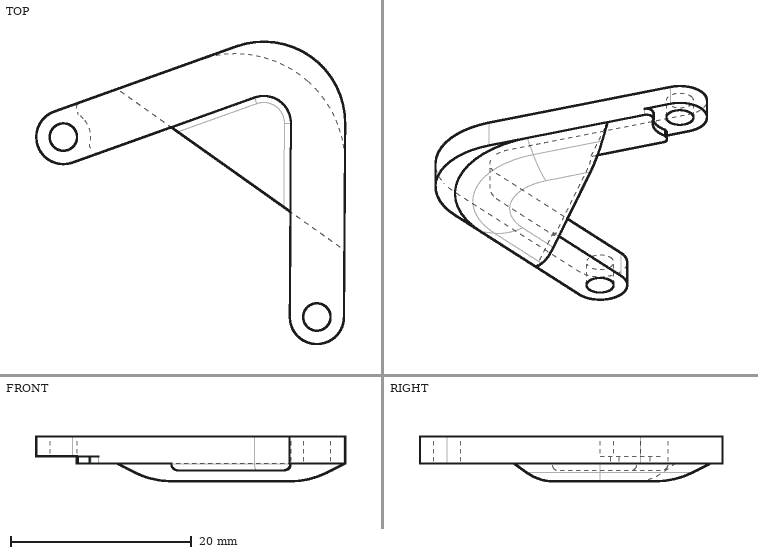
import cadquery as cq
import math

end_radius = 3.0
hole_radius = 1.5
left_hole = (3.0, 22.9)
lower_hole = (31.05, 3.0)
bend_center = (25.17, 24.45)
bend_inner_radius = 3.0
bend_mid_radius = bend_inner_radius + end_radius
bend_outer_radius = bend_mid_radius + end_radius

gusset_depth = 2.0
arm_thickness = 3.0
total_height = gusset_depth + arm_thickness

relief_depth = 0.8
relief_setback = 2.4
relief_corner_radius = 0.7

gusset_corner_radius = 12.18
bevel_angle = math.radians(27)
bevel_blend_radius = 9.0
gusset_chord_start = (15.0, 23.95)
gusset_chord_end = (28.08, 14.67)
pocket_depth = 0.75
pocket_fillet = 0.72
overrun = 6.85


def along(point, direction, distance):
    return (point[0] + direction[0] * distance, point[1] + direction[1] * distance)


def heading(start, end):
    length = math.dist(start, end)
    return ((end[0] - start[0]) / length, (end[1] - start[1]) / length)


def left_of(direction):
    return (-direction[1], direction[0])


def arm_direction(hole, turn):
    """Direction from a hole to where its arm centerline touches the bend; turn picks the side."""
    to_bend = heading(hole, bend_center)
    swing = turn * math.asin(bend_mid_radius / math.dist(hole, bend_center))
    return (
        to_bend[0] * math.cos(swing) - to_bend[1] * math.sin(swing),
        to_bend[0] * math.sin(swing) + to_bend[1] * math.cos(swing),
    )


left_arm = arm_direction(left_hole, 1)
lower_arm = arm_direction(lower_hole, -1)
left_normal = left_of(left_arm)
lower_normal = (lower_arm[1], -lower_arm[0])
bisector = heading((0, 0), along(left_normal, lower_normal, 1))
half_turn_cosine = left_normal[0] * bisector[0] + left_normal[1] * bisector[1]


def bent_outline(plane, start, end, center, radius):
    """Open wire: straight, tangent arc around center, straight."""
    return (
        plane.moveTo(*start)
        .lineTo(*along(center, left_normal, radius))
        .threePointArc(along(center, bisector, radius), along(center, lower_normal, radius))
        .lineTo(*end)
    )


def make_arms():
    outline = bent_outline(
        cq.Workplane("XY").workplane(offset=gusset_depth),
        along(left_hole, left_normal, end_radius),
        along(lower_hole, lower_normal, end_radius),
        bend_center,
        bend_outer_radius,
    )
    return (
        outline.threePointArc(
            along(lower_hole, lower_arm, -end_radius), along(lower_hole, lower_normal, -end_radius)
        )
        .lineTo(*along(bend_center, lower_normal, bend_inner_radius))
        .threePointArc(
            along(bend_center, bisector, bend_inner_radius),
            along(bend_center, left_normal, bend_inner_radius),
        )
        .lineTo(*along(left_hole, left_normal, -end_radius))
        .threePointArc(
            along(left_hole, left_arm, -end_radius), along(left_hole, left_normal, end_radius)
        )
        .close()
        .extrude(arm_thickness)
    )


def make_gusset():
    setback = (gusset_corner_radius - bend_outer_radius) / half_turn_cosine
    center = along(bend_center, bisector, -setback)
    start = along(left_hole, left_normal, end_radius)
    end = along(lower_hole, lower_normal, end_radius)
    body = (
        bent_outline(cq.Workplane("XY"), start, end, center, gusset_corner_radius)
        .close()
        .extrude(gusset_depth)
    )

    blend_height = bevel_blend_radius * (1 - math.cos(bevel_angle))
    slope_width = (gusset_depth - blend_height) / math.tan(bevel_angle)
    rim_width = slope_width + bevel_blend_radius * math.sin(bevel_angle)
    half_angle = bevel_angle / 2
    blend_middle = (
        rim_width - bevel_blend_radius * math.sin(half_angle),
        bevel_blend_radius * (1 - math.cos(half_angle)),
    )
    path = bent_outline(cq.Workplane("XY"), start, end, center, gusset_corner_radius)
    section = cq.Plane(
        origin=(*start, 0), xDir=(-left_normal[0], -left_normal[1], 0), normal=(*left_arm, 0)
    )
    up = section.yDir.z
    rim = (
        cq.Workplane(section)
        .moveTo(0, up * gusset_depth)
        .lineTo(slope_width, up * blend_height)
        .threePointArc((blend_middle[0], up * blend_middle[1]), (rim_width, 0))
        .lineTo(0, 0)
        .close()
        .sweep(path)
    )

    chord = heading(gusset_chord_start, gusset_chord_end)
    chord_normal = left_of(chord)
    chord_left = along(gusset_chord_start, chord, -2 * overrun)
    chord_right = along(gusset_chord_end, chord, 2 * overrun)
    keep_depth = 5 * overrun
    keep = (
        cq.Workplane("XY")
        .polyline(
            [
                chord_left,
                chord_right,
                along(chord_right, chord_normal, keep_depth),
                along(chord_left, chord_normal, keep_depth),
            ]
        )
        .close()
        .extrude(gusset_depth)
    )
    return body.cut(rim).intersect(keep)


def make_pocket():
    floor = gusset_depth - pocket_depth
    return (
        bent_outline(
            cq.Workplane("XY").workplane(offset=floor),
            along(left_hole, left_normal, -end_radius),
            along(lower_hole, lower_normal, -end_radius),
            bend_center,
            bend_inner_radius,
        )
        .close()
        .extrude(pocket_depth)
        .faces("<Z")
        .edges()
        .fillet(pocket_fillet)
    )


def make_relief():
    plane = cq.Plane(
        origin=(*left_hole, gusset_depth), xDir=(*left_arm, 0), normal=(0, 0, 1)
    )
    corner_end = relief_setback + relief_corner_radius
    shoulder = end_radius - relief_corner_radius
    arc_point = relief_corner_radius * math.sqrt(0.5)
    arc_middle = (corner_end - arc_point, shoulder + arc_point)
    step = (
        cq.Workplane(plane)
        .moveTo(-overrun, -overrun)
        .lineTo(corner_end, -overrun)
        .lineTo(corner_end, -end_radius)
        .threePointArc((arc_middle[0], -arc_middle[1]), (relief_setback, -shoulder))
        .lineTo(relief_setback, shoulder)
        .threePointArc(arc_middle, (corner_end, end_radius))
        .lineTo(corner_end, overrun)
        .lineTo(-overrun, overrun)
        .close()
        .extrude(relief_depth)
    )
    scoop = cq.Workplane(plane).circle(end_radius).extrude(relief_depth)
    return step.union(scoop)


holes = cq.Workplane("XY").pushPoints([left_hole, lower_hole]).circle(hole_radius).extrude(total_height)
gusset = make_gusset().cut(make_pocket())
result = make_arms().cut(make_relief()).union(gusset).cut(holes)